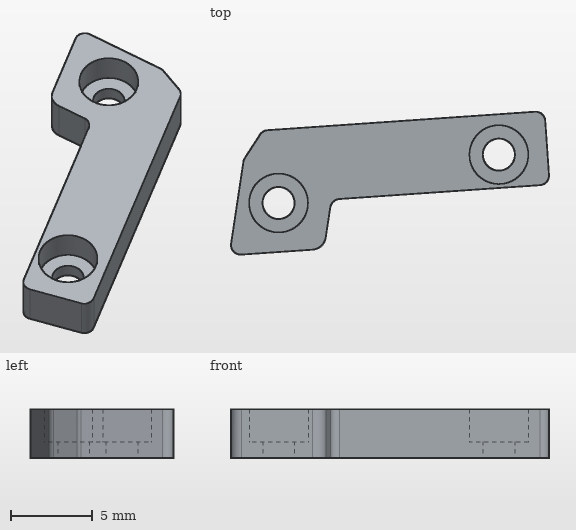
import cadquery as cq
import math

thickness = 3.0
arm_tilt = 3.95
arm_width = 4.5
arm_top = 4.49
arm_end = 16.58
foot_bottom = -3.0
foot_width = 5.8
foot_lean = 12.5
foot_side_at_hole = -2.56

bevel_low_height = 2.78
bevel_top_x = -0.66

corner_radius = 0.6
foot_inner_radius = 0.9

arm_hole = (13.61, 2.02)
foot_hole = (0, 0)
hole_diameter = 1.95
counterbore_diameter = 3.6
counterbore_depth = 2.0

arm_bottom = arm_top - arm_width


def outer_side(height):
    """Point on the outer leaning side of the foot."""
    return (foot_side_at_hole + height * math.tan(math.radians(foot_lean)), height)


def inner_side(height):
    """Point on the inner leaning side, parallel to the outer one."""
    x, y = outer_side(height)
    return (x + foot_width, y)


def round_corner(body, corner, radius):
    """Round the vertical edge standing at the given outline corner."""
    edge = cq.selectors.NearestToPointSelector((*corner, thickness / 2))
    return body.edges("|Z").edges(edge).fillet(radius)


foot_outer_corner = outer_side(foot_bottom)
foot_inner_corner = inner_side(foot_bottom)
inside_corner = inner_side(arm_bottom)
arm_lower_corner = (arm_end, arm_bottom)
arm_upper_corner = (arm_end, arm_top)
bevel_top = (bevel_top_x, arm_top)
bevel_low = outer_side(bevel_low_height)

outline = [
    foot_outer_corner,
    foot_inner_corner,
    inside_corner,
    arm_lower_corner,
    arm_upper_corner,
    bevel_top,
    bevel_low,
]
plate = cq.Workplane("XY").polyline(outline).close().extrude(thickness)

for corner in outline:
    radius = foot_inner_radius if corner == foot_inner_corner else corner_radius
    plate = round_corner(plate, corner, radius)

plate = (
    plate.faces(">Z")
    .workplane(origin=(0, 0, thickness))
    .pushPoints([foot_hole, arm_hole])
    .cboreHole(hole_diameter, counterbore_diameter, counterbore_depth)
)

result = plate.rotate((0, 0, 0), (0, 0, 1), arm_tilt)